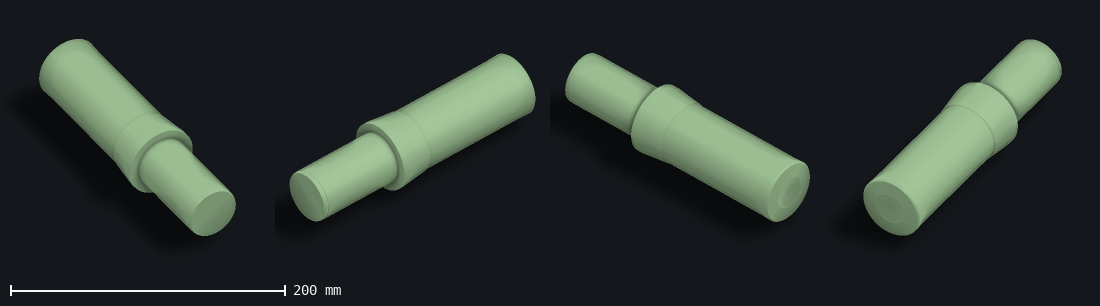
import cadquery as cq

total_length = 200.0
shoulder_x = 0.8
head_land_x = 2.0
head_back_x = 11.0
flare_x = 103.2
flange_x = 124.8
flange_back_x = 129.5
neck_groove_x = 130.2
neck_land_x = 130.8
shank_x = 132.0
shank_end_x = 196.0
end_groove_x = 196.5
end_land_x = 197.0
end_chamfer_x = 198.8

rim_radius = 12.2
recess_radius = 11.5
shoulder_radius = 23.5
head_radius = 24.5
body_radius = 48.0 / 2
flange_radius = 54.0 / 2
shank_radius = 40.0 / 2
neck_radius = 39.5 / 2
neck_groove_radius = 19.5
end_groove_radius = 19.5
end_land_radius = 39.5 / 2
end_radius = 38.8 / 2

crown_bulge = 0.1
crown_mid_x = (head_land_x + head_back_x) / 2
crown_mid_radius = (head_radius + body_radius) / 2 + crown_bulge

recess_lip_depth = 0.2
recess_depth = 1.2

flare_step_length = 0.5
flare_step_height = 0.5


def revolve_about_x(profile):
    """Turn a closed profile, drawn with X along the axis and Y as radius, about the X axis."""
    return profile.close().revolve(360, (0, 0, 0), (1, 0, 0))


def make_cutting_head():
    """Slightly oversize head: coned front face, central recess, and a crowned side down to the body size."""
    profile = (
        cq.Workplane("XY")
        .polyline([
            (recess_depth, 0),
            (recess_lip_depth, recess_radius),
            (0, rim_radius),
            (shoulder_x, shoulder_radius),
            (head_land_x, head_radius),
        ])
        .threePointArc((crown_mid_x, crown_mid_radius), (head_back_x, body_radius))
        .lineTo(head_back_x, 0)
    )
    return revolve_about_x(profile)


def make_holder():
    """Body, flared flange and stepped shank."""
    profile = cq.Workplane("XY").polyline([
        (head_back_x, 0),
        (head_back_x, body_radius),
        (flare_x - flare_step_length, body_radius),
        (flare_x, body_radius + flare_step_height),
        (flange_x, flange_radius),
        (flange_back_x, flange_radius),
        (flange_back_x, neck_radius),
        (neck_groove_x, neck_groove_radius),
        (neck_land_x, neck_radius),
        (shank_x, shank_radius),
        (shank_end_x, shank_radius),
        (end_groove_x, end_groove_radius),
        (end_land_x, end_land_radius),
        (end_chamfer_x, end_land_radius),
        (total_length, end_radius),
        (total_length, 0),
    ])
    return revolve_about_x(profile)


cutting_head = make_cutting_head()
holder = make_holder()

result = cq.Compound.makeCompound([cutting_head.val(), holder.val()])